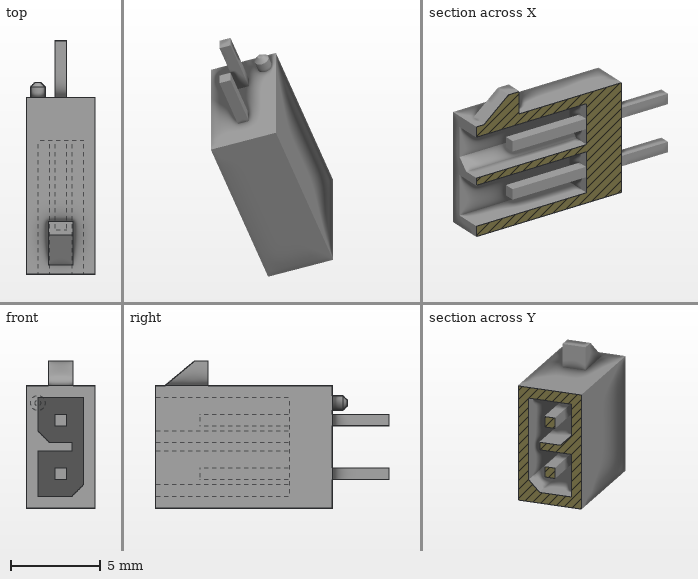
import cadquery as cq

HOUSING_WIDTH = 3.85
HOUSING_LENGTH = 9.91
HOUSING_HEIGHT = 6.87
OVERALL_LENGTH = 13.09
OVERALL_HEIGHT = 8.26

SIDE_WALL = 0.65
END_WALL = 0.67
CAVITY_DEPTH = 7.5
KEY_CHAMFER = 0.65
DIVIDER_THICKNESS = 0.48
DIVIDER_GAP = 0.65

PIN_SIZE = 0.65
PIN_PITCH = 3.0
PIN_RECESS = 2.5

LATCH_WIDTH = 1.4
LATCH_FRONT = 0.53
LATCH_CREST = 2.2
LATCH_BACK = 2.95

PEG_DIAMETER = 0.83
PEG_LENGTH = 0.84
PEG_CHAMFER = 0.25
PEG_X = -1.28
PEG_Z = 2.46


def make_housing():
    return cq.Workplane("XY").box(
        HOUSING_WIDTH, HOUSING_LENGTH, HOUSING_HEIGHT, centered=(True, False, True)
    )


def make_cavity():
    """Two keyed pockets joined beside a divider that grows from the -X wall."""
    side = HOUSING_WIDTH / 2 - SIDE_WALL
    end = HOUSING_HEIGHT / 2 - END_WALL
    divider_tip = side - DIVIDER_GAP
    divider_face = DIVIDER_THICKNESS / 2
    outline = [
        (-side, end),
        (side, end),
        (side, -end + KEY_CHAMFER),
        (side - KEY_CHAMFER, -end),
        (-side, -end),
        (-side, -divider_face),
        (divider_tip, -divider_face),
        (divider_tip, divider_face),
        (-side + KEY_CHAMFER, divider_face),
        (-side, divider_face + KEY_CHAMFER),
    ]
    return cq.Workplane("XZ").polyline(outline).close().extrude(-CAVITY_DEPTH)


def make_pin(z):
    """Square pin running from inside the cavity out through the back face."""
    length = OVERALL_LENGTH - PIN_RECESS
    pin = cq.Workplane("XY").box(PIN_SIZE, length, PIN_SIZE, centered=(True, False, True))
    return pin.translate((0, PIN_RECESS, z))


def make_latch():
    base = HOUSING_HEIGHT / 2
    crest = OVERALL_HEIGHT - base
    profile = [
        (LATCH_FRONT, base),
        (LATCH_CREST, crest),
        (LATCH_BACK, crest),
        (LATCH_BACK, base),
    ]
    return cq.Workplane("YZ").polyline(profile).close().extrude(LATCH_WIDTH / 2, both=True)


def make_peg():
    peg = cq.Workplane("XZ").circle(PEG_DIAMETER / 2).extrude(-PEG_LENGTH)
    peg = peg.faces(">Y").chamfer(PEG_CHAMFER)
    return peg.translate((PEG_X, HOUSING_LENGTH, PEG_Z))


result = make_housing().cut(make_cavity()).union(make_latch()).union(make_peg())
for pin_z in (-PIN_PITCH / 2, PIN_PITCH / 2):
    result = result.union(make_pin(pin_z))